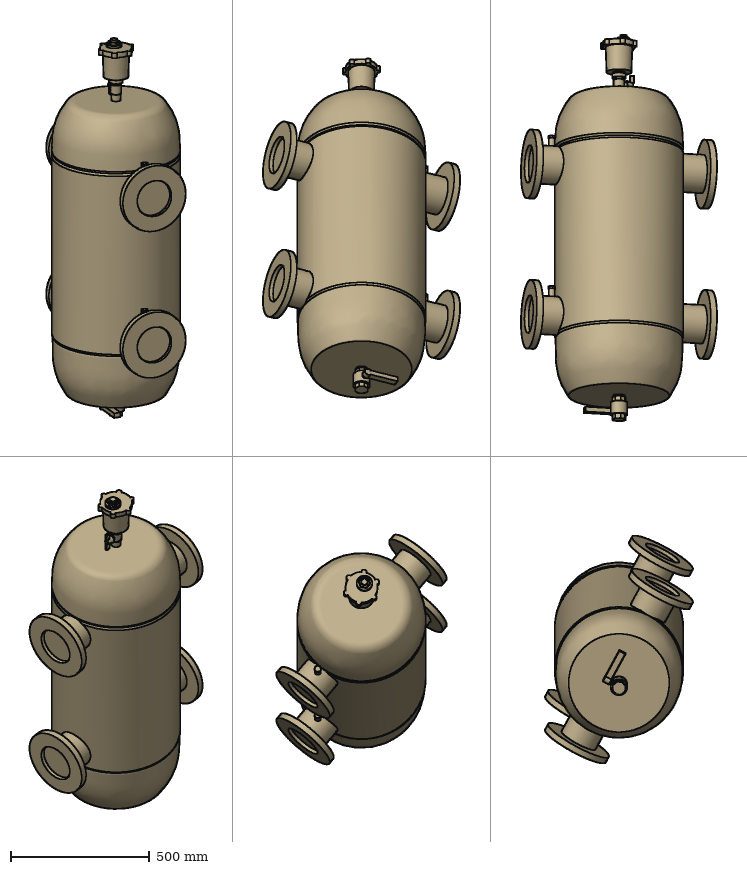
import math

import cadquery as cq

vessel_radius = 233.0
vessel_height = 1115.5
overlap = 2.0

top_flat_radius = 149.0
top_knuckle_radius = 42.0
top_crown_radius = 237.0
knuckle_angle = math.radians(52.0)

bottom_flat_radius = 182.0
bottom_bevel = 4.0
bottom_head_radius = 230.0
bottom_crown_radius = 259.0
bottom_crown_angle = math.radians(34.0)

seam_depth = 4.0
top_seam_upper = 922.0
top_seam_root = 913.5
top_seam_lower = 904.5
bottom_seam_upper = 222.0
bottom_seam_root = 214.0
bottom_seam_lower = 205.0

nozzle_span = 670.0
nozzle_heights = (284.0, 844.5)
pipe_radius = 70.0
flange_radius = 125.0
flange_thickness = 24.0
flange_bore_radius = 68.0
flange_bore_depth = 15.0

stub_x = 250.0
stub_radius = 11.5
stub_height = 38.0
stub_cap_radius = 12.5
stub_cap_height = 9.0

vent_pipe_radius = 17.0
valve_body_bottom = 1141.5
valve_body_top = 1177.0
valve_body_radius = 20.0
collar_base = 1184.5
collar_height = 15.0
collar_radius = 25.0
vent_neck_radius = 21.0
float_base = 1206.0
float_base_radius = 45.5
float_top_radius = 48.5
cover_base = 1298.0
cover_height = 19.5
cover_radius = 58.0
cover_lobe_radius = 9.5
cover_lobe_count = 6
vent_cap_x = -17.0
vent_cap_base_radius = 28.0
vent_cap_hex_radius = 21.0
vent_cap_tip_radius = 12.0
vent_cap_tiers = 3
vent_top = 1343.5

wing_z = 1159.0
wing_stem_radius = 9.0
wing_hub_near = 28.5
wing_hub_far = 52.0
wing_hub_radius = 16.0
wing_hub_tip_radius = 8.0
wing_x = -47.5
wing_thickness = 15.0
wing_width = 8.0
wing_inner = 9.0
wing_outer = 35.0

drain_neck_radius = 21.0
drain_nut_radius = 25.0
drain_nut_top = -6.0
drain_body_radius = 30.0
drain_body_top = -25.0
drain_body_bottom = -71.0
drain_bottom = -89.5
lever_z = -48.0
lever_stem_radius = 9.0
lever_hub_radius = 13.0
lever_near = 35.0
lever_far = 60.0
lever_reach = 116.0
lever_width = 18.0

nut_sides = 8
hexagon_sides = 6
full_turn = 360.0


def disc(radius, bottom, top, x=0.0):
    """Upright cylinder between two heights."""
    return cq.Workplane("XY", origin=(x, 0, bottom)).circle(radius).extrude(top - bottom)


def nut(corner_radius, bottom, top, x=0.0, sides=nut_sides):
    """Upright regular prism with a corner on the X direction."""
    base = cq.Workplane("XY", origin=(x, 0, bottom))
    return base.polygon(sides, 2 * corner_radius).extrude(top - bottom)


def crown_middle(end_x, end_z, radius, end_angle, direction):
    """Point halfway round the crown arc, whose tangent leans end_angle from vertical at its end.

    The arc rises from the wall when direction is 1 and falls from it when direction is -1.
    """
    middle_angle = end_angle / 2
    x = end_x + radius * (math.cos(middle_angle) - math.cos(end_angle))
    z = end_z - direction * radius * (math.sin(end_angle) - math.sin(middle_angle))
    return x, z


def make_vessel():
    knuckle_x = top_flat_radius + top_knuckle_radius * math.sin(knuckle_angle)
    knuckle_z = vessel_height - top_knuckle_radius * (1 - math.cos(knuckle_angle))
    top_end_angle = math.pi / 2 - knuckle_angle
    top_middle = crown_middle(knuckle_x, knuckle_z, top_crown_radius, top_end_angle, 1)
    bevel_x = bottom_flat_radius + bottom_bevel
    bottom_middle = crown_middle(bevel_x, bottom_bevel, bottom_crown_radius, bottom_crown_angle, -1)
    profile = (
        cq.Workplane("XZ")
        .moveTo(0, 0)
        .lineTo(bottom_flat_radius, 0)
        .lineTo(bevel_x, bottom_bevel)
        .spline(
            [bottom_middle, (bottom_head_radius, bottom_seam_lower)],
            tangents=[(math.sin(bottom_crown_angle), math.cos(bottom_crown_angle)), (0, 1)],
            includeCurrent=True,
        )
        .lineTo(vessel_radius - seam_depth, bottom_seam_root)
        .lineTo(vessel_radius, bottom_seam_upper)
        .lineTo(vessel_radius, top_seam_lower)
        .lineTo(vessel_radius - seam_depth, top_seam_root)
        .lineTo(vessel_radius, top_seam_upper)
        .spline(
            [top_middle, (knuckle_x, knuckle_z)],
            tangents=[(0, 1), (-math.sin(top_end_angle), math.cos(top_end_angle))],
            includeCurrent=True,
        )
        .tangentArcPoint((top_flat_radius, vessel_height), relative=False)
        .lineTo(0, vessel_height)
        .close()
    )
    return profile.revolve(full_turn, (0, 0), (0, 1))


def make_nozzle(side, height):
    """Pipe and flange on one side; the flange has a shallow round recess in its face."""
    face_x = side * nozzle_span / 2
    face = cq.Workplane("YZ", origin=(face_x, 0, height))
    pipe = face.circle(pipe_radius).extrude(-face_x)
    flange = face.circle(flange_radius).extrude(-side * flange_thickness)
    recess = face.circle(flange_bore_radius).extrude(-side * flange_bore_depth)
    return pipe.union(flange).cut(recess)


def make_stub(nozzle_height):
    pipe_top = nozzle_height + pipe_radius
    top = pipe_top + stub_height
    stub = disc(stub_radius, nozzle_height, top, stub_x)
    return stub.union(nut(stub_cap_radius, top - stub_cap_height, top, stub_x))


def make_vent():
    vent = disc(vent_pipe_radius, vessel_height - overlap, collar_base + overlap)
    vent = vent.union(disc(valve_body_radius, valve_body_bottom, valve_body_top))
    vent = vent.union(disc(collar_radius, collar_base, collar_base + collar_height))
    vent = vent.union(disc(vent_neck_radius, collar_base, float_base + overlap))
    float_body = (
        cq.Workplane("XY", origin=(0, 0, float_base))
        .circle(float_base_radius)
        .workplane(offset=cover_base - float_base)
        .circle(float_top_radius)
        .loft()
    )
    return vent.union(float_body).union(make_cover()).union(make_vent_cap())


def make_cover():
    cover_top = cover_base + cover_height
    lobes = (
        cq.Workplane("XY", origin=(0, 0, cover_base))
        .polarArray(cover_radius, 90, full_turn, cover_lobe_count)
        .circle(cover_lobe_radius)
        .extrude(cover_height)
    )
    return disc(cover_radius, cover_base, cover_top).union(lobes)


def make_vent_cap():
    """Disc, hexagon and tip of equal height, standing off-centre on the cover."""
    base = cover_base + cover_height
    step = (vent_top - base) / vent_cap_tiers
    cap = disc(vent_cap_base_radius, base - overlap, base + step, vent_cap_x)
    hexagon = nut(vent_cap_hex_radius, base, vent_top - step, vent_cap_x, hexagon_sides)
    tip = disc(vent_cap_tip_radius, base, vent_top, vent_cap_x)
    return cap.union(hexagon).union(tip)


def make_wing_handle():
    """Stem and tapered hub along X, carrying one wing above and one below."""
    axis = cq.Workplane("YZ", origin=(0, 0, wing_z))
    handle = axis.circle(wing_stem_radius).extrude(-wing_hub_near - overlap)
    hub = (
        axis.workplane(offset=-wing_hub_near)
        .circle(wing_hub_radius)
        .workplane(offset=wing_hub_near - wing_hub_far)
        .circle(wing_hub_tip_radius)
        .loft()
    )
    handle = handle.union(hub)
    wing_length = wing_outer - wing_inner
    wing_middle = (wing_outer + wing_inner) / 2
    for side in (-1, 1):
        wing = cq.Workplane("XY").box(wing_thickness, wing_width, wing_length)
        handle = handle.union(wing.translate((wing_x, 0, wing_z + side * wing_middle)))
    return handle


def make_drain():
    drain = disc(drain_neck_radius, drain_bottom + overlap, overlap)
    drain = drain.union(nut(drain_nut_radius, drain_bottom, drain_nut_top))
    return drain.union(disc(drain_body_radius, drain_body_bottom, drain_body_top))


def make_lever():
    axis = cq.Workplane("XZ", origin=(0, 0, lever_z))
    stem = axis.circle(lever_stem_radius).extrude(lever_far)
    outer = axis.workplane(offset=lever_near)
    depth = lever_far - lever_near
    hub = outer.circle(lever_hub_radius).extrude(depth)
    arm = outer.center(lever_reach / 2, 0).rect(lever_reach, lever_width).extrude(depth)
    return stem.union(hub).union(arm)


result = make_vessel()
for nozzle_height in nozzle_heights:
    for side in (-1, 1):
        result = result.union(make_nozzle(side, nozzle_height))
    result = result.union(make_stub(nozzle_height))
result = result.union(make_vent()).union(make_wing_handle())
result = result.union(make_drain()).union(make_lever())